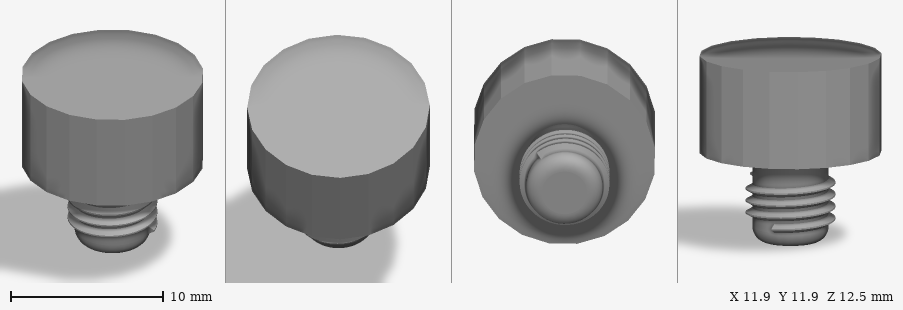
import cadquery as cq
import math

HEAD_SIDES = 20
HEAD_RADIUS = 6.0
HEAD_HEIGHT = 6.5
FIRST_CORNER_ANGLE = 12.0

SHANK_RADIUS = 2.5
SHANK_LENGTH = 6.0
TIP_ROUND = 1.0

PITCH = 0.8
TURNS = 3.75
THREAD_RADIUS = 2.95
ROOT_WIDTH = 0.6
CREST_WIDTH = 0.1
ROOT_OVERLAP = 0.1
THREAD_START = TIP_ROUND + ROOT_WIDTH / 2


def make_head():
    """Upright prism whose corners lie evenly on a circle."""
    corners = []
    for index in range(HEAD_SIDES):
        angle = math.radians(FIRST_CORNER_ANGLE + index * 360 / HEAD_SIDES)
        corners.append((HEAD_RADIUS * math.cos(angle), HEAD_RADIUS * math.sin(angle)))
    outline = cq.Workplane("XY", origin=(0, 0, SHANK_LENGTH)).polyline(corners).close()
    return outline.extrude(HEAD_HEIGHT)


def make_shank():
    """Cylinder standing on its rounded tip."""
    cylinder = cq.Workplane("XY").circle(SHANK_RADIUS).extrude(SHANK_LENGTH)
    return cylinder.faces("<Z").edges().fillet(TIP_ROUND)


def make_thread():
    """Trapezoidal ridge swept along a helix around Z."""
    helix = cq.Wire.makeHelix(PITCH, PITCH * TURNS, SHANK_RADIUS)
    half_crest = CREST_WIDTH / 2
    flank_slope = (ROOT_WIDTH - CREST_WIDTH) / 2 / (THREAD_RADIUS - SHANK_RADIUS)
    half_base = ROOT_WIDTH / 2 + flank_slope * ROOT_OVERLAP
    base_radius = SHANK_RADIUS - ROOT_OVERLAP
    profile = [
        (base_radius, -half_base),
        (THREAD_RADIUS, -half_crest),
        (THREAD_RADIUS, half_crest),
        (base_radius, half_base),
    ]
    ridge = cq.Workplane("XZ").polyline(profile).close().sweep(cq.Workplane(helix), isFrenet=True)
    return ridge.translate((0, 0, THREAD_START))


result = make_shank().union(make_head()).union(make_thread())